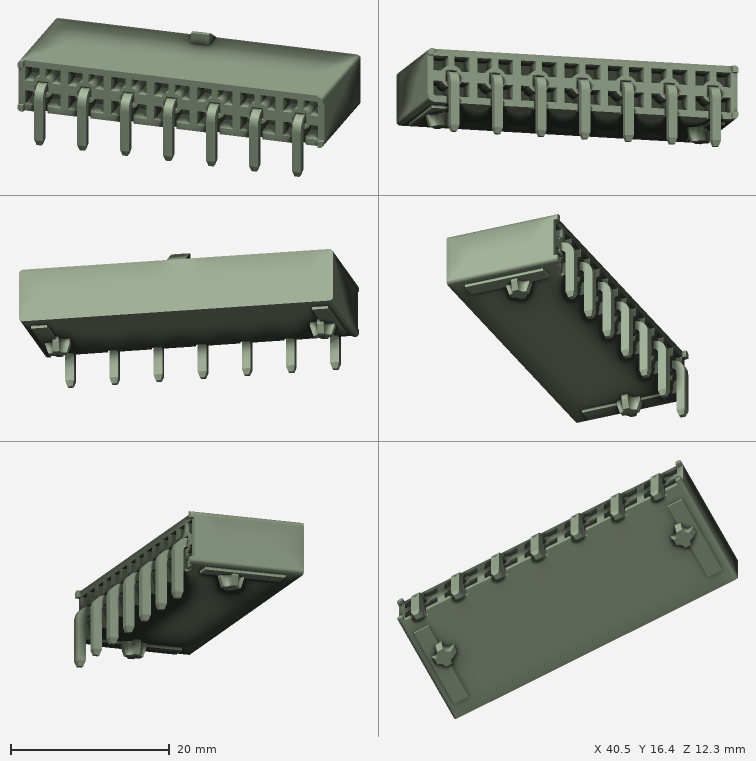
import cadquery as cq


overall_length = 40.55
overall_depth = 16.44
overall_height = 12.28

housing_height = 6.84
housing_depth = 14.78
corner_radius = 0.5
middle_z = housing_height / 2
front_y = -housing_depth

lug_reach = 0.54
lug_width = 0.76
lug_height = 0.87

pocket_width = 4.7
pocket_height = 5.13
pocket_depth = 3.0
vertical_rib_thickness = 0.8
level_rib_thickness = 1.34
hub_radius = 1.45

mouth_size = 1.6
slot_width = 1.3
slot_height = 2.15
slot_depth = 0.645

pin_count = 7
pin_pitch = 5.7
pin_size = 1.14
pin_outer_bend_radius = 1.8
pin_tip_length = 0.73
pin_tip_size = 0.66
pin_drop = 3.9

latch_width = 2.4
latch_height = overall_height - pin_drop - housing_height
latch_ramp_length = 2.57
latch_top_end = 3.2
latch_foot_end = 3.07

pad_outer_x = 19.17
pad_back_inset = 2.05
pad_length = 10.8
pad_thickness = 0.36
peg_back_inset = 8.62
peg_height = 1.82
peg_fillet_radius = 0.75
peg_rib_reach = 1.58
peg_rib_thickness = 0.83
peg_rib_tip_reach = peg_rib_thickness / 2 + peg_fillet_radius
peg_rib_straight_height = 0.6

pin_row = [(i - (pin_count - 1) / 2) * pin_pitch for i in range(pin_count)]
end_pin_x = pin_row[-1]


def box(x_range, y_range, z_range):
    """Axis-aligned box between the given pairs of limits."""
    size = [high - low for low, high in (x_range, y_range, z_range)]
    corner = cq.Vector(x_range[0], y_range[0], z_range[0])
    return cq.Workplane(obj=cq.Solid.makeBox(*size, pnt=corner))


def around(center, width):
    """Limits of a span of the given width about a center."""
    return (center - width / 2, center + width / 2)


def make_housing():
    """Block with rounded long edges, its front cut back everywhere but at the four corner lugs."""
    full_depth = housing_depth + lug_reach
    block = box(around(0, overall_length), (-full_depth, 0), (0, housing_height))
    block = block.edges("|Y").fillet(corner_radius)
    recess_y = (-full_depth, front_y)
    tall_recess = box(around(0, overall_length - 2 * lug_width), recess_y, (0, housing_height))
    wide_recess = box(
        around(0, overall_length),
        recess_y,
        around(middle_z, housing_height - 2 * lug_height),
    )
    return block.cut(tall_recess).cut(wide_recess)


def make_pocket_group(x):
    """Four coring pockets about one pin, as the volume to remove."""
    depth_range = (front_y, front_y + pocket_depth)
    opening = box(around(x, pocket_width), depth_range, around(middle_z, pocket_height))
    vertical_rib = box(
        around(x, vertical_rib_thickness), depth_range, around(middle_z, pocket_height)
    )
    level_rib = box(
        around(x, pocket_width), depth_range, around(middle_z, level_rib_thickness)
    )
    hub = cq.Workplane(
        obj=cq.Solid.makeCylinder(
            hub_radius, pocket_depth, cq.Vector(x, front_y, middle_z), cq.Vector(0, 1, 0)
        )
    )
    return opening.cut(vertical_rib).cut(level_rib).cut(hub)


def make_pin_clearance(x):
    """Square mouth flared at 45 degrees and a slot that deepens down to the housing's underside."""
    mouth_depth = (mouth_size - pin_size) / 2
    mouth = (
        cq.Workplane("XZ", origin=(x, front_y, middle_z))
        .rect(mouth_size, mouth_size)
        .workplane(offset=-mouth_depth)
        .rect(pin_size, pin_size)
        .loft()
    )
    slot = (
        cq.Workplane("YZ", origin=(x - slot_width / 2, 0, 0))
        .moveTo(front_y, 0)
        .lineTo(front_y + slot_depth, 0)
        .lineTo(front_y, slot_height)
        .close()
        .extrude(slot_width)
    )
    return mouth.union(slot)


def make_pin(x):
    """Square pin rooted in the hub, bent downward, with a tapered tip."""
    pin_front = -overall_depth
    pin_back = pin_front + pin_size
    pin_top = middle_z + pin_size / 2
    pin_underside = pin_top - pin_size
    bend_y = pin_front + pin_outer_bend_radius
    bend_z = pin_top - pin_outer_bend_radius
    inner_radius = pin_outer_bend_radius - pin_size
    root_y = front_y + pocket_depth
    shoulder_z = pin_tip_length - pin_drop
    bent_bar = (
        cq.Workplane("YZ", origin=(x - pin_size / 2, 0, 0))
        .moveTo(root_y, pin_top)
        .lineTo(bend_y, pin_top)
        .radiusArc((pin_front, bend_z), -pin_outer_bend_radius)
        .lineTo(pin_front, shoulder_z)
        .lineTo(pin_back, shoulder_z)
        .lineTo(pin_back, bend_z)
        .radiusArc((bend_y, pin_underside), inner_radius)
        .lineTo(root_y, pin_underside)
        .close()
        .extrude(pin_size)
    )
    tip = (
        cq.Workplane("XY", origin=(x, pin_front + pin_size / 2, shoulder_z))
        .rect(pin_size, pin_size)
        .workplane(offset=-pin_tip_length)
        .rect(pin_tip_size, pin_tip_size)
        .loft()
    )
    return bent_bar.union(tip)


def make_latch():
    """Ramp rising from the back edge to a short flat, with a slightly undercut front."""
    top_z = housing_height + latch_height
    return (
        cq.Workplane("YZ", origin=(-latch_width / 2, 0, 0))
        .moveTo(0, housing_height)
        .lineTo(-latch_ramp_length, top_z)
        .lineTo(-latch_top_end, top_z)
        .lineTo(-latch_foot_end, housing_height)
        .close()
        .extrude(latch_width)
    )


def make_foot():
    """Pad and cross-shaped peg, rounded between its ribs, under the +X end of the housing."""
    pad = box(
        (end_pin_x, pad_outer_x),
        (-pad_back_inset - pad_length, -pad_back_inset),
        (-pad_thickness, 0),
    )
    rib = (
        cq.Workplane("XZ")
        .moveTo(-peg_rib_reach, 0)
        .lineTo(peg_rib_reach, 0)
        .lineTo(peg_rib_reach, -peg_rib_straight_height)
        .lineTo(peg_rib_tip_reach, -peg_height)
        .lineTo(-peg_rib_tip_reach, -peg_height)
        .lineTo(-peg_rib_reach, -peg_rib_straight_height)
        .close()
        .extrude(peg_rib_thickness / 2, both=True)
    )
    cross_rib = rib.rotate((0, 0, 0), (0, 0, 1), 90)
    core_width = 2 * peg_rib_tip_reach
    core = cq.Workplane("XY").rect(core_width, core_width).extrude(-peg_height)
    core_corners = cq.Workplane("XY").rect(core_width, core_width, forConstruction=True).vertices()
    flutes = core_corners.circle(peg_fillet_radius).extrude(-peg_height)
    peg = core.cut(flutes).union(rib).union(cross_rib)
    return pad.union(peg.translate((end_pin_x, -peg_back_inset, 0)))


result = make_housing()
for pin_x in pin_row:
    result = result.cut(make_pocket_group(pin_x)).cut(make_pin_clearance(pin_x))
for pin_x in pin_row:
    result = result.union(make_pin(pin_x))
foot = make_foot()
result = result.union(make_latch()).union(foot).union(foot.mirror("YZ"))